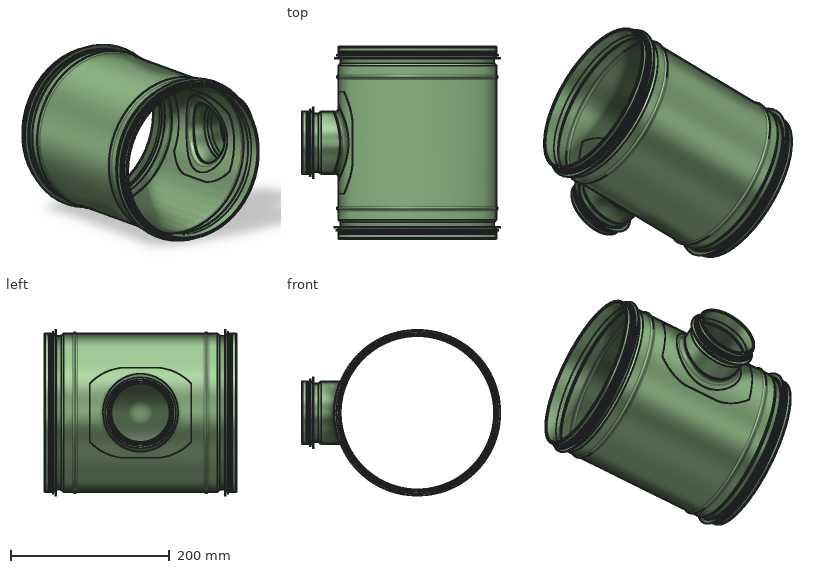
import cadquery as cq
import math


SHEET = 0.5

TUBE_LENGTH = 243.0
TUBE_RADIUS = 200.0 / 2
TUBE_SLEEVE_RADIUS = 194.3 / 2

BEAD_FROM_END = 38.5
BEAD_HEIGHT = 1.8
BEAD_TIP_RADIUS = 1.0
BEAD_ROOT_RADIUS = 2.5

BRANCH_RADIUS = 79.0 / 2
BRANCH_SLEEVE_RADIUS = 74.2 / 2
OVERALL_LENGTH_X = 250.7

HEM_LENGTH = 6.0
SHOULDER_START = 21.3
SHOULDER_END = 24.5

GASKET_CLEARANCE = 0.5
RIDGE_START = 7.3
RIDGE_END = 9.0
RIDGE_HEIGHT = 0.5
LIP_THICKNESS = 1.0
SHORT_LIP_START = 10.5
LONG_LIP_START = 14.3
LONG_LIP_DIAMETER_ON_TUBE = 209.3
SHORT_LIP_DIAMETER_ON_TUBE = 204.3

FLANGE_LENGTH_Y = 128.0
FLANGE_HEIGHT_Z = 113.3
FLANGE_END_HEIGHT = 73.2
FLANGE_SIDE_LENGTH = 48.6
FLANGE_CORNER_BULGE = 4.0
NECK_FILLET = 4.8
NECK_OVERLAP = 1.0
BRANCH_GAP = 5.3
OPENING_LENGTH_Y = 94.8
OPENING_HEIGHT_Z = 98.3

BRANCH_HEM_RADIUS = BRANCH_RADIUS + SHEET
FLANGE_RADIUS = TUBE_RADIUS - SHEET
NECK_RADIUS = BRANCH_RADIUS - SHEET
GASKET_END = LONG_LIP_START + LIP_THICKNESS
TUBE_GASKET_RADIUS = TUBE_RADIUS - SHEET
LONG_LIP_HEIGHT = LONG_LIP_DIAMETER_ON_TUBE / 2 - TUBE_GASKET_RADIUS
SHORT_LIP_HEIGHT = SHORT_LIP_DIAMETER_ON_TUBE / 2 - TUBE_GASKET_RADIUS
BRANCH_END_X = LONG_LIP_DIAMETER_ON_TUBE / 2 - OVERALL_LENGTH_X
BRANCH_BODY_X = BRANCH_END_X + SHOULDER_END


def revolve_about_x(profile):
    return profile.close().revolve(360, (0, 0, 0), (1, 0, 0))


def cylinder_along_y(radius):
    return cq.Workplane("XZ").circle(radius).extrude(TUBE_LENGTH / 2, both=True)


def cylinder_along_x(radius, start, end):
    return cq.Workplane("YZ").workplane(offset=start).circle(radius).extrude(end - start)


def fold_radius(sleeve, hem):
    """Outer radius of the half-round fold from the inside of the sleeve to the outside of the hem."""
    return (hem - sleeve + SHEET) / 2


def collar(sleeve, hem, body):
    """Rolled end along +X with its open end at X = 0.

    A thin sleeve of the given outer radius, folded back at the open end into a hem,
    and widened by a conical shoulder to the radius of the body behind it.
    """
    fold = fold_radius(sleeve, hem)
    fold_centre = hem - fold
    inner_fold = fold - SHEET
    return revolve_about_x(
        cq.Workplane("XY")
        .moveTo(SHOULDER_START, sleeve - SHEET)
        .lineTo(fold, sleeve - SHEET)
        .threePointArc((0, fold_centre), (fold, hem))
        .lineTo(HEM_LENGTH, hem)
        .lineTo(HEM_LENGTH, hem - SHEET)
        .lineTo(fold, hem - SHEET)
        .threePointArc((fold - inner_fold, fold_centre), (fold, sleeve))
        .lineTo(SHOULDER_START, sleeve)
        .lineTo(SHOULDER_END, body)
        .lineTo(SHOULDER_END, body - SHEET)
    )


def gasket(sleeve, hem):
    """Rubber ring around the sleeve, held under the hem, with a ridge and two thin lips."""
    base = hem - SHEET
    ring = cylinder_along_x(base, fold_radius(sleeve, hem), GASKET_END)
    for start, end, height in (
        (RIDGE_START, RIDGE_END, RIDGE_HEIGHT),
        (SHORT_LIP_START, SHORT_LIP_START + LIP_THICKNESS, SHORT_LIP_HEIGHT),
        (LONG_LIP_START, GASKET_END, LONG_LIP_HEIGHT),
    ):
        ring = ring.union(cylinder_along_x(base + height, start, end))
    return ring.cut(cylinder_along_x(sleeve + GASKET_CLEARANCE, 0, GASKET_END))


def on_tube_ends(part):
    """Copies of a part built along +X, one on each end of the tube."""
    first = part.rotate((0, 0, 0), (0, 0, 1), 90).translate((0, -TUBE_LENGTH / 2, 0))
    return [first.rotate((0, 0, 0), (0, 0, 1), turn) for turn in (0, 180)]


def on_branch_end(part):
    return part.translate((BRANCH_END_X, 0, 0))


def add_bead(profile, centre, inset):
    """Continue a wall profile over one bead: root arc, tip arc, root arc, all tangent."""
    tip = BEAD_TIP_RADIUS - inset
    root = BEAD_ROOT_RADIUS + inset
    tip_height = TUBE_RADIUS + BEAD_HEIGHT - BEAD_TIP_RADIUS
    root_height = TUBE_RADIUS + BEAD_ROOT_RADIUS
    slope = math.asin((root_height - tip_height) / (tip + root))
    reach = (tip + root) * math.cos(slope)
    tangent_x = tip * math.cos(slope)
    tangent_height = tip_height + tip * math.sin(slope)
    halfway = (slope + math.pi / 2) / 2
    middle_x = reach - root * math.cos(halfway)
    middle_height = root_height - root * math.sin(halfway)
    return (
        profile.lineTo(centre - reach, root_height - root)
        .threePointArc((centre - middle_x, middle_height), (centre - tangent_x, tangent_height))
        .threePointArc((centre, tip_height + tip), (centre + tangent_x, tangent_height))
        .threePointArc((centre + middle_x, middle_height), (centre + reach, root_height - root))
    )


def tube_core(inset):
    """Solid inside the beaded wall between the two collars, moved inward by the inset."""
    radius = TUBE_RADIUS - inset
    end = TUBE_LENGTH / 2 - SHOULDER_END
    bead = TUBE_LENGTH / 2 - BEAD_FROM_END
    profile = cq.Workplane("XY").moveTo(-end, 0).lineTo(-end, radius)
    for centre in (-bead, bead):
        profile = add_bead(profile, centre, inset)
    profile = profile.lineTo(end, radius).lineTo(end, 0)
    return revolve_about_x(profile).rotate((0, 0, 0), (0, 0, 1), 90)


def make_tube():
    tube = tube_core(0).cut(tube_core(SHEET))
    for end in on_tube_ends(collar(TUBE_SLEEVE_RADIUS, TUBE_RADIUS, TUBE_RADIUS)):
        tube = tube.union(end)
    opening = (
        cq.Workplane("YZ")
        .ellipse(OPENING_LENGTH_Y / 2, OPENING_HEIGHT_Z / 2)
        .extrude(BRANCH_END_X)
    )
    return tube.cut(opening)


def flange_outline():
    """Prism along -X: a rectangle in Y and Z whose four corners are replaced by shallow arcs."""
    end_y = FLANGE_LENGTH_Y / 2
    side_z = FLANGE_HEIGHT_Z / 2
    corner_y = FLANGE_SIDE_LENGTH / 2
    corner_z = FLANGE_END_HEIGHT / 2
    chord = math.hypot(end_y - corner_y, side_z - corner_z)
    arc_y = (end_y + corner_y) / 2 + FLANGE_CORNER_BULGE * (side_z - corner_z) / chord
    arc_z = (side_z + corner_z) / 2 + FLANGE_CORNER_BULGE * (end_y - corner_y) / chord
    return (
        cq.Workplane("YZ")
        .moveTo(end_y, -corner_z)
        .lineTo(end_y, corner_z)
        .threePointArc((arc_y, arc_z), (corner_y, side_z))
        .lineTo(-corner_y, side_z)
        .threePointArc((-arc_y, arc_z), (-end_y, corner_z))
        .lineTo(-end_y, -corner_z)
        .threePointArc((-arc_y, -arc_z), (-corner_y, -side_z))
        .lineTo(corner_y, -side_z)
        .threePointArc((arc_y, -arc_z), (end_y, -corner_z))
        .close()
        .extrude(BRANCH_END_X)
    )


def saddle_core(inset):
    """Cylinder with the filleted neck on it, moved inward by the inset."""
    junction = cq.selectors.BoxSelector(
        (-FLANGE_RADIUS - NECK_FILLET, -BRANCH_RADIUS, -BRANCH_RADIUS),
        (0, BRANCH_RADIUS, BRANCH_RADIUS),
        boundingbox=True,
    )
    return (
        cylinder_along_y(FLANGE_RADIUS - inset)
        .union(cylinder_along_x(NECK_RADIUS - inset, BRANCH_BODY_X, 0))
        .edges(junction)
        .fillet(NECK_FILLET + inset)
    )


def raised_flange_surface(height):
    """Cylinder as large as the flange, shifted outward along the branch."""
    return cylinder_along_y(FLANGE_RADIUS).translate((-height, 0, 0))


def make_saddle():
    """Flange, neck and branch pipe in one piece; the pipe is fixed over the neck."""
    flange = (
        saddle_core(0)
        .cut(saddle_core(SHEET))
        .intersect(flange_outline())
        .intersect(raised_flange_surface(BRANCH_GAP + NECK_OVERLAP))
    )
    pipe = (
        cylinder_along_x(BRANCH_RADIUS, BRANCH_BODY_X, -FLANGE_RADIUS / 2)
        .cut(cylinder_along_x(NECK_RADIUS, BRANCH_BODY_X, 0))
        .cut(raised_flange_surface(BRANCH_GAP))
    )
    end = on_branch_end(collar(BRANCH_SLEEVE_RADIUS, BRANCH_HEM_RADIUS, BRANCH_RADIUS))
    return flange.union(pipe).union(end)


tube = make_tube()
saddle = make_saddle()
tube_gaskets = on_tube_ends(gasket(TUBE_SLEEVE_RADIUS, TUBE_RADIUS))
branch_gasket = on_branch_end(gasket(BRANCH_SLEEVE_RADIUS, BRANCH_HEM_RADIUS))

result = cq.Compound.makeCompound(
    [tube.val(), saddle.val(), branch_gasket.val(), *[ring.val() for ring in tube_gaskets]]
)